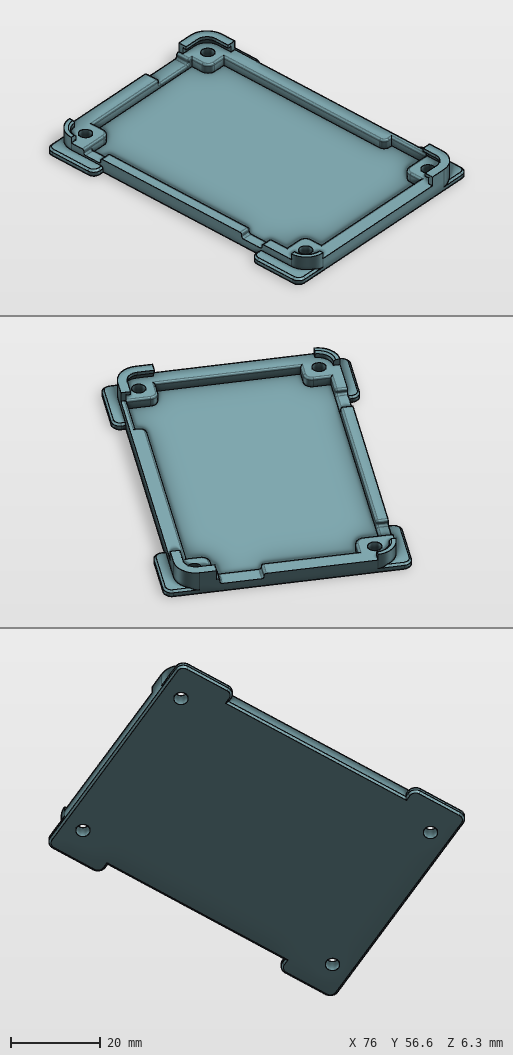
import cadquery as cq

length = 76.05
width = 56.6
height = 6.3

body_width = 50.65
body_corner_radius = 5.0
rim_height = 3.9
floor_height = 1.5
edge_chamfer = 0.5

tab_width = 14.6
tab_thickness = 2.0
tab_corner_radius = 2.0

cavity_half_length = 34.2
cavity_front_y = -22.5
cavity_rear_y = 21.7
rear_recess_y = 24.0
rear_recess_start_x = 19.0
pad_inner_x = 29.2
pad_inner_y = 16.6
pad_corner_radius = 2.0
recess_corner_radius = 1.5
inner_edge_radius = 0.5

hole_diameter = 3.2
hole_x = 33.0
hole_y = 20.5

rear_wall_thickness = 2.2
rear_wall_end_x = 29.2
rear_wall_end_y = 16.4
rear_groove_depth = 1.0
rear_groove_top = 5.5

front_wall_height = 5.5
front_wall_thickness = 1.5

notch_floor_height = 2.5
notch_corner_radius = 0.5
front_notch_outer_x = 24.2
front_right_notch_length = 6.1
side_notch_y_min = 5.6
side_notch_length = 10.0

front_rim_thickness = body_width / 2 + cavity_front_y
side_rim_thickness = length / 2 - cavity_half_length
selection_margin = 0.1


def rounded_block(size_x, size_y, size_z, corner_radius):
    """Block standing on Z = 0 with rounded vertical corners."""
    block = cq.Workplane("XY").box(size_x, size_y, size_z, centered=(True, True, False))
    return block.edges("|Z").fillet(corner_radius)


def inset_block(inset, block_height):
    """Block set in from the body outline by the same distance all round."""
    return rounded_block(
        length - 2 * inset, body_width - 2 * inset, block_height, body_corner_radius - inset
    )


def make_base():
    """Solid tray body joined to one tab strip at each end."""
    base = inset_block(0, rim_height).faces("<Z").edges().chamfer(edge_chamfer)
    strip = rounded_block(tab_width, width, tab_thickness, tab_corner_radius)
    strip = strip.faces("<Z or >Z").edges().chamfer(edge_chamfer)
    strip_x = (length - tab_width) / 2
    for side in (-1, 1):
        base = base.union(strip.translate((side * strip_x, 0, 0)))
    return base


def make_cavity():
    """Pocket that goes around the corner pads and widens at the rear right."""
    outline = [
        (-pad_inner_x, cavity_front_y),
        (pad_inner_x, cavity_front_y),
        (pad_inner_x, -pad_inner_y),
        (cavity_half_length, -pad_inner_y),
        (cavity_half_length, pad_inner_y),
        (pad_inner_x, pad_inner_y),
        (pad_inner_x, rear_recess_y),
        (rear_recess_start_x, rear_recess_y),
        (rear_recess_start_x, cavity_rear_y),
        (-pad_inner_x, cavity_rear_y),
        (-pad_inner_x, pad_inner_y),
        (-cavity_half_length, pad_inner_y),
        (-cavity_half_length, -pad_inner_y),
        (-pad_inner_x, -pad_inner_y),
    ]
    cavity = (
        cq.Workplane("XY", origin=(0, 0, floor_height))
        .polyline(outline)
        .close()
        .extrude(rim_height - floor_height)
    )

    rounded_corners = [
        (side_x * pad_inner_x, side_y * pad_inner_y, pad_corner_radius)
        for side_x in (-1, 1)
        for side_y in (-1, 1)
    ]
    rounded_corners.append((rear_recess_start_x, cavity_rear_y, recess_corner_radius))
    middle_z = (floor_height + rim_height) / 2
    for x, y, radius in rounded_corners:
        corner = cq.selectors.NearestToPointSelector((x, y, middle_z))
        cavity = cavity.edges("|Z").edges(corner).fillet(radius)
    return cavity


def notch_profile(plane, start, end, flush_start=False):
    """Notch cross-section with rounded ends; a flush start is left as a plain vertical end."""
    radius = notch_corner_radius
    profile = cq.Workplane(plane)
    if flush_start:
        profile = profile.moveTo(start, rim_height).lineTo(start, notch_floor_height)
    else:
        profile = (
            profile.moveTo(start - radius, rim_height)
            .radiusArc((start, rim_height - radius), radius)
            .lineTo(start, notch_floor_height + radius)
            .radiusArc((start + radius, notch_floor_height), -radius)
        )
    return (
        profile.lineTo(end - radius, notch_floor_height)
        .radiusArc((end, notch_floor_height + radius), -radius)
        .lineTo(end, rim_height - radius)
        .radiusArc((end + radius, rim_height), radius)
        .close()
    )


def make_front_notch(start_x, end_x, flush_start=False):
    """Notch through the front rim."""
    notch = notch_profile("XZ", start_x, end_x, flush_start).extrude(front_rim_thickness)
    return notch.translate((0, cavity_front_y, 0))


def make_side_notch():
    """Notch through the left rim."""
    notch = notch_profile("YZ", side_notch_y_min, side_notch_y_min + side_notch_length)
    return notch.extrude(side_rim_thickness).translate((-length / 2, 0, 0))


def round_inner_edges(tray):
    """Round the upper edge of the cavity, and the floor of the notch where it meets the pad."""
    cavity_top_edges = cq.selectors.BoxSelector(
        (
            -cavity_half_length - selection_margin,
            cavity_front_y - selection_margin,
            floor_height + selection_margin,
        ),
        (
            cavity_half_length + selection_margin,
            rear_recess_y + selection_margin,
            rim_height + selection_margin,
        ),
        boundingbox=True,
    )
    notch_pad_edge = cq.selectors.NearestToPointSelector(
        (-pad_inner_x, cavity_front_y - front_rim_thickness / 2, notch_floor_height)
    )
    return tray.edges(cavity_top_edges + notch_pad_edge).fillet(inner_edge_radius)


def make_rear_wall(side):
    """L-shaped, grooved wall around a rear corner; side is -1 for left and 1 for right."""
    outer = inset_block(0, height)
    opening = inset_block(rear_wall_thickness, height)
    groove = inset_block(rear_wall_thickness - rear_groove_depth, rear_groove_top)
    leg_x = length / 2 - rear_wall_end_x
    leg_y = body_width / 2 - rear_wall_end_y
    corner = (
        cq.Workplane("XY", origin=(0, 0, rim_height))
        .center(side * (length - leg_x) / 2, (body_width - leg_y) / 2)
        .rect(leg_x, leg_y)
        .extrude(height - rim_height)
    )
    return outer.cut(opening).cut(groove).intersect(corner)


def make_front_wall(side):
    """Quarter-ring wall around a front corner, bevelled along its inner top edge."""
    inner_radius = body_corner_radius - front_wall_thickness
    section = [
        (inner_radius, rim_height),
        (body_corner_radius, rim_height),
        (body_corner_radius, front_wall_height),
        (inner_radius + edge_chamfer, front_wall_height),
        (inner_radius, front_wall_height - edge_chamfer),
    ]
    quarter = cq.Workplane("XZ").polyline(section).close().revolve(90, (0, 0), (0, -1))
    if side < 0:
        quarter = quarter.mirror("YZ")
    arc_center_x = length / 2 - body_corner_radius
    arc_center_y = body_width / 2 - body_corner_radius
    return quarter.translate((side * arc_center_x, -arc_center_y, 0))


def make_holes():
    """Cutters for the four screw holes."""
    centers = [(side_x * hole_x, side_y * hole_y) for side_x in (-1, 1) for side_y in (-1, 1)]
    return cq.Workplane("XY").pushPoints(centers).circle(hole_diameter / 2).extrude(height)


result = make_base().cut(make_cavity())

result = result.cut(make_front_notch(-pad_inner_x, -front_notch_outer_x, flush_start=True))
result = result.cut(
    make_front_notch(front_notch_outer_x - front_right_notch_length, front_notch_outer_x)
)
result = result.cut(make_side_notch())
result = round_inner_edges(result)

for side in (-1, 1):
    result = result.union(make_rear_wall(side))
    result = result.union(make_front_wall(side))

result = result.cut(make_holes())